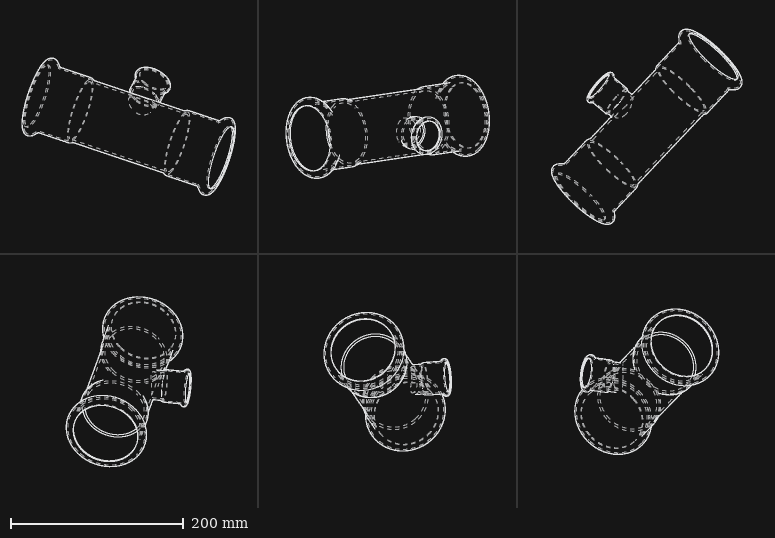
import cadquery as cq
import math

run_length = 232.0
pipe_radius = 76.0 / 2
run_bore_radius = 70.0 / 2
socket_radius = 80.0 / 2
bead_radius = 94.7 / 2
bead_round = 5.5
step_start = 55.2
step_end = 59.2
bend_radius = 2.3

branch_tip = 122.3 - bead_radius
branch_pipe_radius = 34.8 / 2
branch_bore_radius = 30.2 / 2
branch_socket_radius = 38.0 / 2
branch_bead_radius = 44.0 / 2
branch_bead_round = 3.0
branch_step_start = 27.8
branch_step_end = 30.6
branch_bend_radius = 1.9
branch_root_fillet = 1.5


def revolve_about_x(profile):
    return profile.close().revolve(360, (0, 0, 0), (1, 0, 0))


def ring_edges(solid, position, radius):
    """Select the circular edge of the given radius at one place along X."""
    tolerance = 0.02
    box = cq.selectors.BoxSelector(
        (position - tolerance, -radius - tolerance, -radius - tolerance),
        (position + tolerance, radius + tolerance, radius + tolerance),
        boundingbox=True,
    )
    return solid.edges(box).edges(cq.selectors.RadiusNthSelector(-1))


def socket_outside(bead_r, round_r, socket_r, pipe_r, start, end, length, bend):
    """Solid socket with a beaded mouth at X = 0, stepping down to the pipe."""
    center_r = bead_r - round_r
    diagonal = round_r * math.sqrt(0.5)
    flank_x = round_r + diagonal
    flank_r = center_r + diagonal
    foot_x = flank_x + flank_r - socket_r
    body = revolve_about_x(
        cq.Workplane("XY")
        .lineTo(0, center_r)
        .threePointArc((round_r, bead_r), (flank_x, flank_r))
        .lineTo(foot_x, socket_r)
        .lineTo(start, socket_r)
        .lineTo(end, pipe_r)
        .lineTo(length, pipe_r)
        .lineTo(length, 0)
    )
    for position, radius in ((foot_x, socket_r), (start, socket_r), (end, pipe_r)):
        body = ring_edges(body, position, radius).fillet(bend)
    return body


def socket_inside(bead_r, round_r, socket_r, pipe_r, bore_r, start, length, bend):
    """Space inside a socket: the mouth, the seal groove in the bead and the bore behind a flat pipe stop."""
    wall = socket_r - pipe_r
    groove_round = round_r - wall
    center_r = bead_r - round_r
    diagonal = groove_round * math.sqrt(0.5)
    flank_x = round_r + diagonal
    flank_r = center_r + diagonal
    foot_x = flank_x + flank_r - pipe_r
    space = revolve_about_x(
        cq.Workplane("XY")
        .lineTo(0, pipe_r)
        .lineTo(wall, pipe_r)
        .lineTo(wall, center_r)
        .threePointArc((round_r, bead_r - wall), (flank_x, flank_r))
        .lineTo(foot_x, pipe_r)
        .lineTo(start, pipe_r)
        .lineTo(start, bore_r)
        .lineTo(length, bore_r)
        .lineTo(length, 0)
    )
    return ring_edges(space, foot_x, pipe_r).fillet(bend)


def place_on_run(half):
    """Centre the run on the origin and mirror the half to the other end."""
    left = half.translate((-run_length / 2, 0, 0))
    return left.union(left.mirror("YZ"))


def place_on_branch(branch):
    """Turn the mouth to face +Y and move it to the branch tip."""
    return branch.rotate((0, 0, 0), (0, 0, 1), -90).translate((0, branch_tip, 0))


run_shape = (bead_radius, bead_round, socket_radius, pipe_radius)
run_end = (run_length / 2, bend_radius)
branch_shape = (branch_bead_radius, branch_bead_round, branch_socket_radius, branch_pipe_radius)
branch_end = (branch_tip, branch_bend_radius)

outside = place_on_run(socket_outside(*run_shape, step_start, step_end, *run_end))
branch_body = place_on_branch(
    socket_outside(*branch_shape, branch_step_start, branch_step_end, *branch_end)
)
outside = outside.union(branch_body)
margin = 0.2
root_reach = branch_pipe_radius + margin
root_box = cq.selectors.BoxSelector(
    (-root_reach, pipe_radius / 2, -root_reach),
    (root_reach, pipe_radius + margin, root_reach),
    boundingbox=True,
)
outside = outside.edges(root_box).fillet(branch_root_fillet)

run_space = place_on_run(socket_inside(*run_shape, run_bore_radius, step_start, *run_end))
branch_space = place_on_branch(
    socket_inside(*branch_shape, branch_bore_radius, branch_step_start, *branch_end)
)
result = outside.cut(run_space).cut(branch_space)